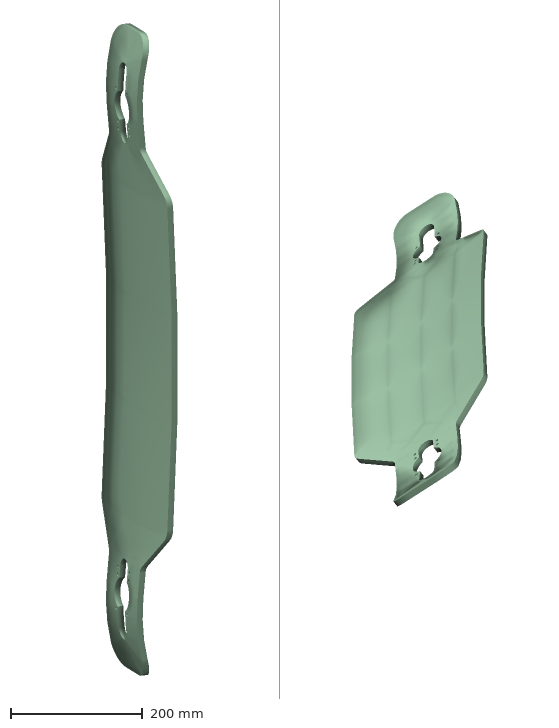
import cadquery as cq
import math

length = 1016.0
deck_width = 241.0
thickness = 9.7
concave_depth = 13.0

platform_half = 266.0
rocker_drop = 8.6

mount_width = 114.0
mount_start = 330.0
pad_end = 378.0
lowest_z = 406.0
lowest_y = -40.0
tip_radius = 305.0

tip_corner_radius = 33.0
shoulder_radius = 25.0
neck_radius = 13.0

slot_width = 27.0
slot_bottom = 329.0
slot_top = 456.0
truck_circle_z = 385.0
truck_circle_diameter = 53.0
bolt_diameter = 5.0
bolt_half_spacing = 20.0
bolt_heights = (347.0, 359.0, 412.0)

trim = 6.0
cut_depth = 203.0

deck_half = deck_width / 2
mount_half = mount_width / 2
concave_radius = (deck_half**2 + concave_depth**2) / (2 * concave_depth)
rocker_radius = (platform_half**2 + rocker_drop**2) / (2 * rocker_drop)
rocker_angle = math.asin(platform_half / rocker_radius)
pad_angle = math.asin((lowest_z - pad_end) / tip_radius)
tip_center_y = lowest_y + tip_radius
pad_end_y = tip_center_y - tip_radius * math.cos(pad_angle)
pad_start_y = pad_end_y + (pad_end - mount_start) * math.tan(pad_angle)


def lengthwise_plane(y, z, angle):
    """Cross-section plane with local x along X, its normal leaning from Z toward -Y."""
    normal = (0, -math.sin(angle), math.cos(angle))
    return cq.Plane(origin=(0, y, z), xDir=(1, 0, 0), normal=normal)


def concave_section(plane):
    """Deck cross-section: two parallel arcs, with riding edges at local height 0."""
    half = deck_half + trim
    edge_rise = concave_radius - math.sqrt(concave_radius**2 - half**2)
    top = -concave_depth
    bottom = top - thickness
    return (
        cq.Workplane(plane)
        .moveTo(-half, top + edge_rise)
        .threePointArc((0, top), (half, top + edge_rise))
        .lineTo(half, bottom + edge_rise)
        .threePointArc((0, bottom), (-half, bottom + edge_rise))
        .close()
    )


def make_platform():
    """Concave section revolved about a distant axis parallel to X, giving the arch."""
    section = concave_section(lengthwise_plane(-rocker_drop, -platform_half, -rocker_angle))
    return section.revolve(
        math.degrees(2 * rocker_angle),
        (0, -rocker_radius),
        (1, -rocker_radius),
    )


def make_transition():
    """Ruled wing from the concave platform end to the flat, narrow truck mount."""
    start = concave_section(lengthwise_plane(-rocker_drop, platform_half, rocker_angle))
    half = mount_half + trim
    end = (
        cq.Workplane(lengthwise_plane(pad_start_y, mount_start, pad_angle))
        .moveTo(-half, thickness)
        .lineTo(half, thickness)
        .lineTo(half, 0)
        .lineTo(-half, 0)
        .close()
    )
    wires = [start.val(), end.val()]
    return cq.Workplane(cq.Solid.makeLoft(wires, True))


def make_mount():
    """Sloped flat pad running tangent into the upturned tip, uniform across X."""
    tip_angle = math.asin((length / 2 + trim - lowest_z) / (tip_radius - thickness))

    def on_arc(radius, angle):
        return (tip_center_y - radius * math.cos(angle), lowest_z + radius * math.sin(angle))

    inner_radius = tip_radius - thickness
    middle_angle = (tip_angle - pad_angle) / 2
    upper_start = (
        pad_start_y + thickness * math.cos(pad_angle),
        mount_start + thickness * math.sin(pad_angle),
    )
    return (
        cq.Workplane("YZ")
        .moveTo(pad_start_y, mount_start)
        .lineTo(pad_end_y, pad_end)
        .threePointArc(on_arc(tip_radius, middle_angle), on_arc(tip_radius, tip_angle))
        .lineTo(*on_arc(inner_radius, tip_angle))
        .threePointArc(on_arc(inner_radius, middle_angle), on_arc(inner_radius, -pad_angle))
        .lineTo(*upper_start)
        .close()
        .extrude(mount_half + trim, both=True)
    )


def at_corners(x, z):
    """Selector for edges whose middle is at one of the four mirrored positions of (x, z)."""
    boxes = [
        cq.selectors.BoxSelector(
            (sx * x - trim, -trim, sz * z - trim),
            (sx * x + trim, trim, sz * z + trim),
        )
        for sx in (-1, 1)
        for sz in (-1, 1)
    ]
    return boxes[0] + boxes[1] + boxes[2] + boxes[3]


def make_outline():
    """Outline of the deck as a tall prism along Y, with its corners rounded."""
    right_side = [
        (deck_half, platform_half),
        (mount_half, mount_start),
        (mount_half, length / 2),
    ]
    points = right_side + [(-x, z) for x, z in reversed(right_side)]
    points += [(-x, -z) for x, z in points]
    prism = cq.Workplane("XZ").polyline(points).close().extrude(cut_depth, both=True)
    radii = (shoulder_radius, neck_radius, tip_corner_radius)
    for radius, (x, z) in zip(radii, right_side):
        prism = prism.edges("|Y").edges(at_corners(x, z)).fillet(radius)
    return prism


def make_truck_cutout():
    """Round-ended slot, central truck circle and bolt holes of the upper mount."""
    slot_length = slot_top - slot_bottom
    front = cq.Workplane("XZ")
    cutout = (
        front.center(0, (slot_top + slot_bottom) / 2)
        .slot2D(slot_length, slot_width, 90)
        .extrude(cut_depth, both=True)
    )
    circle = front.center(0, truck_circle_z).circle(truck_circle_diameter / 2)
    bolts = front.pushPoints([(side * bolt_half_spacing, z) for side in (-1, 1) for z in bolt_heights])
    cutout = cutout.union(circle.extrude(cut_depth, both=True))
    return cutout.union(bolts.circle(bolt_diameter / 2).extrude(cut_depth, both=True))


upper_end = make_transition().union(make_mount())
lower_end = upper_end.mirror("XY")
cutout = make_truck_cutout()

result = make_platform().union(upper_end).union(lower_end)
result = result.intersect(make_outline())
result = result.cut(cutout).cut(cutout.mirror("XY"))